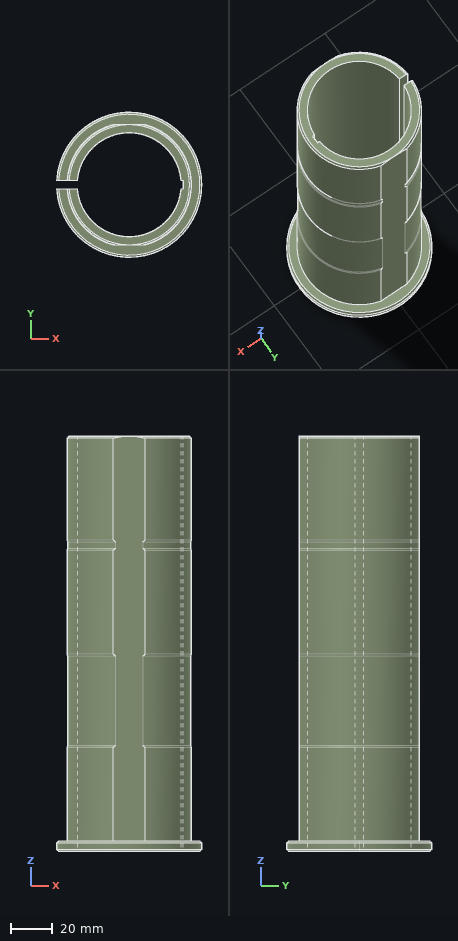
import cadquery as cq
import math

TOTAL_HEIGHT = 200.0
BORE_RADIUS = 25.0
TUBE_RADIUS = 30.0
FLANGE_RADIUS = 35.0
FLANGE_HEIGHT = 5.0
FLANGE_CHAMFER = 1.0

TOP_CHAMFER = 1.0

RECESS_DEPTH = 0.25
RECESS_TAPER_ANGLE = 15.0
RECESS_TAPER = RECESS_DEPTH / math.tan(math.radians(RECESS_TAPER_ANGLE))
WAIST_BOTTOM = 50.0
WAIST_TOP = 95.0
GROOVE_BOTTOM = 145.0
GROOVE_TOP = 150.0

FLAT_DISTANCE = 29.0

SLIT_WIDTH = 4.0
KEYWAY_WIDTH = 4.0
KEYWAY_DEPTH = 1.0


def recess_points(bottom, top):
    """Profile points of a recess with tapered ends, listed upwards."""
    floor_radius = TUBE_RADIUS - RECESS_DEPTH
    return [
        (TUBE_RADIUS, bottom),
        (floor_radius, bottom + RECESS_TAPER),
        (floor_radius, top - RECESS_TAPER),
        (TUBE_RADIUS, top),
    ]


def tube():
    """Tube with its recesses and top chamfer, before the flats are cut."""
    profile = [(BORE_RADIUS, 0), (TUBE_RADIUS, 0)]
    profile += recess_points(WAIST_BOTTOM, WAIST_TOP)
    profile += recess_points(GROOVE_BOTTOM, GROOVE_TOP)
    profile += [
        (TUBE_RADIUS, TOTAL_HEIGHT - TOP_CHAMFER),
        (TUBE_RADIUS - TOP_CHAMFER, TOTAL_HEIGHT),
        (BORE_RADIUS, TOTAL_HEIGHT),
    ]
    return cq.Workplane("XZ").polyline(profile).close().revolve(360, (0, 0), (0, 1))


def flats_envelope():
    """Slab whose two Y faces form the flats on the tube."""
    return cq.Workplane("XY").box(
        2 * TUBE_RADIUS, 2 * FLAT_DISTANCE, TOTAL_HEIGHT, centered=(True, True, False)
    )


def flange():
    """Bottom collar, chamfered on both outer edges."""
    disc = cq.Workplane("XY").circle(FLANGE_RADIUS).extrude(FLANGE_HEIGHT)
    disc = disc.edges().chamfer(FLANGE_CHAMFER)
    return disc.cut(cq.Workplane("XY").circle(BORE_RADIUS).extrude(FLANGE_HEIGHT))


def slit():
    """Full-height cut through the wall on the -X side."""
    return cq.Workplane("XY").box(
        FLANGE_RADIUS, SLIT_WIDTH, TOTAL_HEIGHT, centered=(False, True, False)
    ).translate((-FLANGE_RADIUS, 0, 0))


def keyway():
    """Full-height groove in the bore on the +X side."""
    return cq.Workplane("XY").box(
        BORE_RADIUS + KEYWAY_DEPTH, KEYWAY_WIDTH, TOTAL_HEIGHT, centered=(False, True, False)
    )


body = tube().intersect(flats_envelope()).union(flange())
result = body.cut(slit()).cut(keyway())